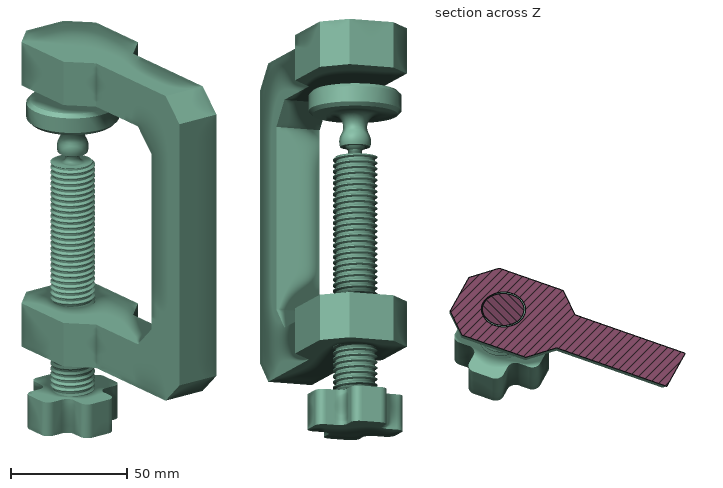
import cadquery as cq
import math


total_height = 176.3
total_length = 110.0
frame_height = 140.0
bar_size = 20.0
frame_chamfer = bar_size / 2
jaw_width = 40.0
jaw_full_length = 50.0
jaw_left = -jaw_width / 2
frame_right = jaw_left + total_length
frame_bottom = total_height - frame_height

thread_crest = 19.2
thread_root = 17.0
nut_crest = 20.3
nut_bore = 17.5
thread_pitch = jaw_width / 16
thread_crest_flat = thread_pitch / 8
flank_angle = 30.0
first_ridge_height = 13.2

knob_width = jaw_width
knob_height = 15.5
knob_arm_width = 16.0
knob_fillet = 3.7
shoulder_height = 120.0
neck_radius = 6.0 / 2
neck_fillet = 2.0
ball_radius = 5.0
ball_height = 127.0

pad_radius = jaw_width / 2
pad_thickness = 9.9
pad_top = 148.8
pad_chamfer = 1.5
pad_bottom = pad_top - pad_thickness
socket_radius = 6.9
socket_bottom = 124.6
pad_neck_fillet = 5.6


def make_thread(root_diameter, crest_diameter, start, turns):
    """Solid right-handed thread. Its first ridge crosses the +X side at the start height.

    Each turn is closed by helical strips between neighbouring corners of the thread outline.
    The first and last turn end in a helical ramp and a flat step that reach the axis.
    """
    root_radius = root_diameter / 2
    crest_radius = crest_diameter / 2
    crest_half = thread_crest_flat / 2
    root_half = crest_half + (crest_radius - root_radius) * math.tan(math.radians(flank_angle))
    outline = [
        (root_radius, start - root_half),
        (crest_radius, start - crest_half),
        (crest_radius, start + crest_half),
        (root_radius, start + root_half),
        (root_radius, start - root_half + thread_pitch),
    ]

    def helix_edge(radius, height):
        one_turn = cq.Wire.makeHelix(thread_pitch, thread_pitch, radius, cq.Vector(0, 0, height))
        return one_turn.Edges()[0]

    def end_faces(rise):
        low = start - root_half + rise
        axis_edge = cq.Edge.makeLine(cq.Vector(0, 0, low), cq.Vector(0, 0, low + thread_pitch))
        ramp = cq.Face.makeRuledSurface(helix_edge(root_radius, low), axis_edge)
        outline_points = [cq.Vector(radius, 0, height + rise) for radius, height in outline]
        axis_points = [cq.Vector(0, 0, low + thread_pitch), cq.Vector(0, 0, low)]
        step = cq.Face.makeFromWires(cq.Wire.makePolygon(outline_points + axis_points, close=True))
        return [ramp, step]

    faces = end_faces(0) + end_faces(turns * thread_pitch)
    for turn in range(turns):
        rise = turn * thread_pitch
        for (low_radius, low), (high_radius, high) in zip(outline, outline[1:]):
            low_edge = helix_edge(low_radius, low + rise)
            high_edge = helix_edge(high_radius, high + rise)
            faces.append(cq.Face.makeRuledSurface(low_edge, high_edge))
    return cq.Workplane(cq.Solid.makeSolid(cq.Shell.makeShell(faces)))


def make_threaded_hole():
    """Cutter for the nut thread in the lower arm, in step with the screw's thread."""
    top = frame_bottom + bar_size
    turns_below = math.floor((frame_bottom - first_ridge_height) / thread_pitch) - 1
    start = first_ridge_height + turns_below * thread_pitch
    turns = math.ceil((top - start) / thread_pitch) + 1
    return make_thread(nut_bore, nut_crest, start, turns)


def make_frame():
    """C-shaped side outline limited to the plan outline, with the nut thread in its lower arm."""
    side = (
        cq.Workplane("XZ", origin=(0, jaw_width / 2, 0))
        .moveTo(jaw_left, frame_bottom)
        .lineTo(frame_right - frame_chamfer, frame_bottom)
        .lineTo(frame_right, frame_bottom + frame_chamfer)
        .lineTo(frame_right, total_height - frame_chamfer)
        .lineTo(frame_right - frame_chamfer, total_height)
        .lineTo(jaw_left, total_height)
        .lineTo(jaw_left, total_height - bar_size)
        .lineTo(frame_right - bar_size - frame_chamfer, total_height - bar_size)
        .lineTo(frame_right - bar_size, total_height - bar_size - frame_chamfer)
        .lineTo(frame_right - bar_size, frame_bottom + bar_size + frame_chamfer)
        .lineTo(frame_right - bar_size - frame_chamfer, frame_bottom + bar_size)
        .lineTo(jaw_left, frame_bottom + bar_size)
        .close()
        .extrude(jaw_width)
    )
    half_jaw = jaw_width / 2
    half_bar = bar_size / 2
    jaw_right = jaw_left + jaw_full_length
    plan = (
        cq.Workplane("XY")
        .moveTo(jaw_left, half_jaw - frame_chamfer)
        .lineTo(jaw_left + frame_chamfer, half_jaw)
        .lineTo(jaw_right - frame_chamfer, half_jaw)
        .lineTo(jaw_right, half_bar)
        .lineTo(frame_right, half_bar)
        .lineTo(frame_right, 0)
        .lineTo(jaw_left, 0)
        .close()
        .extrude(total_height)
    )
    plan = plan.union(plan.mirror("XZ"))
    return side.intersect(plan).cut(make_threaded_hole())


def make_knob():
    """Cross-shaped knob with rounded outer and inner corners."""
    arm = cq.Workplane("XY").rect(knob_width, knob_arm_width).extrude(knob_height)
    cross = arm.union(arm.rotate((0, 0, 0), (0, 0, 1), 90))
    return cross.edges("|Z").fillet(knob_fillet)


def make_threaded_rod():
    """Thread cut off flat at the knob and at the shoulder, by a wider cylinder."""
    turns = math.ceil((shoulder_height - first_ridge_height) / thread_pitch) + 1
    thread = make_thread(thread_root, thread_crest, first_ridge_height, turns)
    rod_length = shoulder_height - knob_height
    envelope = cq.Workplane("XY", origin=(0, 0, knob_height)).circle(thread_crest).extrude(rod_length)
    return thread.intersect(envelope)


def make_ball_end():
    """Neck that flares into the shoulder, with the ball on top."""
    neck_base = shoulder_height + neck_fillet
    neck_top = ball_height - math.sqrt(ball_radius**2 - neck_radius**2)
    flare_dip = neck_fillet * math.sqrt(0.5)
    return (
        cq.Workplane("XZ")
        .moveTo(0, shoulder_height)
        .lineTo(neck_radius + neck_fillet, shoulder_height)
        .threePointArc(
            (neck_radius + neck_fillet - flare_dip, neck_base - flare_dip),
            (neck_radius, neck_base),
        )
        .lineTo(neck_radius, neck_top)
        .threePointArc((ball_radius, ball_height), (0, ball_height + ball_radius))
        .close()
        .revolve(360, (0, 0), (0, 1))
    )


def make_screw():
    return make_threaded_rod().union(make_ball_end()).union(make_knob())


def make_pad():
    """Round pad on a ball socket; an arc tangent to both blends the socket into the pad."""
    fillet_height = pad_bottom - pad_neck_fillet
    rise = fillet_height - ball_height
    reach = socket_radius + pad_neck_fillet
    fillet_center_radius = math.sqrt(reach**2 - rise**2)
    blend_radius = fillet_center_radius * socket_radius / reach
    blend_height = ball_height + rise * socket_radius / reach
    rim_radius = math.sqrt(socket_radius**2 - (ball_height - socket_bottom) ** 2)
    opening_radius = math.sqrt(ball_radius**2 - (ball_height - socket_bottom) ** 2)
    return (
        cq.Workplane("XZ")
        .moveTo(opening_radius, socket_bottom)
        .lineTo(rim_radius, socket_bottom)
        .threePointArc((socket_radius, ball_height), (blend_radius, blend_height))
        .threePointArc(
            (fillet_center_radius - pad_neck_fillet, fillet_height),
            (fillet_center_radius, pad_bottom),
        )
        .lineTo(pad_radius - pad_chamfer, pad_bottom)
        .lineTo(pad_radius, pad_bottom + pad_chamfer)
        .lineTo(pad_radius, pad_top - pad_chamfer)
        .lineTo(pad_radius - pad_chamfer, pad_top)
        .lineTo(0, pad_top)
        .lineTo(0, ball_height + ball_radius)
        .threePointArc((ball_radius, ball_height), (opening_radius, socket_bottom))
        .close()
        .revolve(360, (0, 0), (0, 1))
    )


frame = make_frame()
screw = make_screw()
pad = make_pad()

result = cq.Compound.makeCompound([frame.solids().val(), screw.solids().val(), pad.val()])